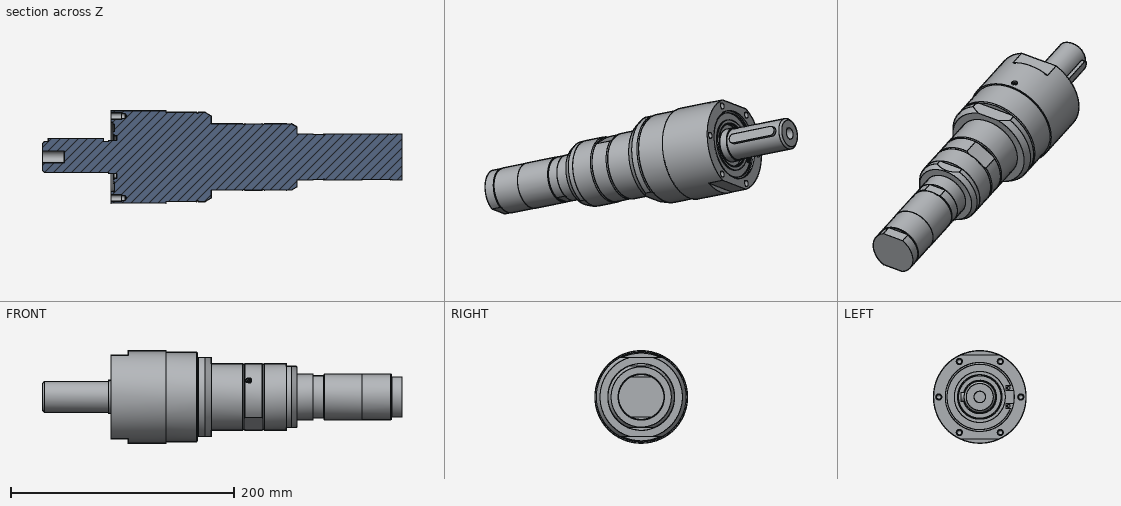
import cadquery as cq
import math

TOTAL_LENGTH = 322.0
OVERCUT = 3.2

SHAFT_RADIUS = 28.0 / 2
SHAFT_CHAMFER = 2.0
CENTRE_HOLE_DIAMETER = 10.3
CENTRE_HOLE_DEPTH = 19.3
COLLAR_RADIUS = 30.0 / 2
COLLAR_START = 59.2

KEY_START = 5.0
KEY_LENGTH = 49.5
KEY_WIDTH = 8.5
KEY_TOP = 16.7

FLANGE_RADIUS = 83.0 / 2
FLANGE_START = 61.2
FLANGE_FLAT_END = 76.5
FLANGE_FLAT_WIDTH = 75.0
FLANGE_END = 110.8
NUT_RADIUS = 80.5 / 2
NUT_FLAT_START = 138.8
NUT_FLAT_WIDTH = 71.0
NUT_END = 151.5
NUT_CHAMFER_LENGTH = 5.8

MOTOR_RADIUS = 60.0 / 2
RING_START = 180.3
RING_END = 197.7
RING_FLAT_WIDTH = 55.5
RING_FLAT_ANGLE = 60.0
MOTOR_CAP_RADIUS = 59.5 / 2
MOTOR_FLAT_START = 218.3
MOTOR_FLAT_WIDTH = 55.0
MOTOR_END = 228.0
MOTOR_CHAMFER_LENGTH = 4.8
END_CHAMFER_ANGLE = 30.0

TAIL_RADIUS = 41.5 / 2
SLEEVE_RADIUS = 41.2 / 2
NECK_START = 242.5
NECK_END = 252.0
REAR_SLEEVE_START = 286.0
NECK_FLAT_WIDTH = 38.0
TAIL_FLAT_START = 312.5
TAIL_FLAT_WIDTH = 36.0

JOINT_GROOVE_HALF_WIDTH = 1.0
JOINT_GROOVE_DEPTH = 1.0
TAIL_GROOVE_SIZE = 0.48

RECESS_RADIUS = 31.0
RECESS_DEPTH = 3.2
SEAL_DISC_RADIUS = 23.0
SEAL_DISC_HEIGHT = 1.3
SEAL_STEP_RADIUS = 20.0
SEAL_STEP_DEPTH = 1.0
SEAL_BORE_RADIUS = 19.0
SEAL_BORE_DEPTH = 3.2

SNAP_RING_INNER_RADIUS = 29.3
SNAP_RING_THICKNESS = 1.3
SNAP_RING_GAP = 12.0
EAR_WIDTH = 4.2
EAR_INNER_REACH = 23.5
EAR_HOLE_DIAMETER = 2.5
EAR_HOLE_REACH = 25.8

BOLT_COUNT = 6
BOLT_CIRCLE_RADIUS = 36.7
BOLT_THREAD_DIAMETER = 5.5
BOLT_THREAD_DEPTH = 9.5
BOLT_DRILL_DIAMETER = 4.2
BOLT_DRILL_DEPTH = 13.0
DRILL_POINT_ANGLE = 118.0

PORT_DIAMETER = 5.0
PORT_DEPTH = 2.0
PORT_BORE_DIAMETER = 2.5
PORT_BORE_DEPTH = 4.8
FLANGE_PORT_X = 104.5
FLANGE_PORT_ANGLE = 90.0
MOTOR_PORT_X = 184.8
MOTOR_PORT_ANGLE = 150.0


def v_groove(x, radius, half_width=JOINT_GROOVE_HALF_WIDTH, depth=JOINT_GROOVE_DEPTH):
    """Profile points of a V groove centred at x."""
    return [(x - half_width, radius), (x, radius - depth), (x + half_width, radius)]


def end_chamfer(x, radius, length):
    """Profile points of a shallow chamfer that ends at x."""
    drop = length * math.tan(math.radians(END_CHAMFER_ANGLE))
    return [(x - length, radius), (x, radius - drop)]


def turned_body():
    """Half profile revolved about the X axis."""
    profile = [
        (0, 0),
        (0, SHAFT_RADIUS - SHAFT_CHAMFER),
        (SHAFT_CHAMFER, SHAFT_RADIUS),
        (COLLAR_START, SHAFT_RADIUS),
        (COLLAR_START, COLLAR_RADIUS),
        (FLANGE_START, COLLAR_RADIUS),
        (FLANGE_START, FLANGE_RADIUS),
        (FLANGE_END, FLANGE_RADIUS),
        (FLANGE_END, NUT_RADIUS),
        *v_groove(NUT_FLAT_START, NUT_RADIUS),
        *end_chamfer(NUT_END, NUT_RADIUS, NUT_CHAMFER_LENGTH),
        (NUT_END, MOTOR_RADIUS),
        *v_groove(RING_START, MOTOR_RADIUS),
        *v_groove(RING_END, MOTOR_RADIUS),
        (MOTOR_FLAT_START, MOTOR_RADIUS),
        (MOTOR_FLAT_START, MOTOR_CAP_RADIUS),
        *end_chamfer(MOTOR_END, MOTOR_CAP_RADIUS, MOTOR_CHAMFER_LENGTH),
        (MOTOR_END, TAIL_RADIUS),
        (NECK_START, TAIL_RADIUS),
        (NECK_START, SLEEVE_RADIUS),
        *v_groove(NECK_END, SLEEVE_RADIUS, TAIL_GROOVE_SIZE, TAIL_GROOVE_SIZE),
        (NECK_END + TAIL_GROOVE_SIZE, TAIL_RADIUS),
        (REAR_SLEEVE_START, TAIL_RADIUS),
        (REAR_SLEEVE_START, SLEEVE_RADIUS),
        *v_groove(TAIL_FLAT_START, SLEEVE_RADIUS, TAIL_GROOVE_SIZE, TAIL_GROOVE_SIZE),
        (TOTAL_LENGTH, SLEEVE_RADIUS),
        (TOTAL_LENGTH, 0),
    ]
    return cq.Workplane("XY").polyline(profile).close().revolve(360, (0, 0, 0), (1, 0, 0))


def disc(x, radius, length):
    """Cylinder on the X axis that starts at x."""
    return cq.Workplane("YZ", origin=(x, 0, 0)).circle(radius).extrude(length)


def tube(x, outer_radius, inner_radius, length):
    """Hollow cylinder on the X axis that starts at x."""
    return cq.Workplane("YZ", origin=(x, 0, 0)).circle(outer_radius).circle(inner_radius).extrude(length)


def block(x_range, y_range, z_range):
    """Box given by its limits along X, Y and Z."""
    limits = (x_range, y_range, z_range)
    sizes = [high - low for low, high in limits]
    corner = tuple(low for low, high in limits)
    return cq.Workplane("XY").box(*sizes, centered=False).translate(corner)


def turn(shape, angle):
    """Turn a shape about the X axis, from +Y toward +Z."""
    return shape.rotate((0, 0, 0), (1, 0, 0), angle)


def cut_flat_pair(body, x_start, x_end, radius, across, normal_angle=90.0):
    """Cut two opposite parallel flats between x_start and x_end."""
    reach = radius + OVERCUT
    slab = block((x_start, x_end), (across / 2, reach), (-reach, reach))
    for angle in (normal_angle, normal_angle + 180):
        body = body.cut(turn(slab, angle))
    return body


def shaft_key():
    """Key with round ends, sunk to the shaft axis."""
    return (
        cq.Workplane("XZ", origin=(KEY_START + KEY_LENGTH / 2, 0, 0))
        .slot2D(KEY_LENGTH, KEY_WIDTH)
        .extrude(-KEY_TOP)
    )


def front_recess():
    """Material removed around the collar, leaving a seal disc with a stepped bore."""
    disc_start = FLANGE_START + RECESS_DEPTH - SEAL_DISC_HEIGHT
    seal_disc = disc(disc_start, SEAL_DISC_RADIUS, SEAL_DISC_HEIGHT)
    seal_step = tube(disc_start, SEAL_STEP_RADIUS, COLLAR_RADIUS, SEAL_STEP_DEPTH)
    seal_bore = tube(disc_start, SEAL_BORE_RADIUS, COLLAR_RADIUS, SEAL_BORE_DEPTH)
    recess = tube(FLANGE_START, RECESS_RADIUS, COLLAR_RADIUS, RECESS_DEPTH)
    return recess.cut(seal_disc).union(seal_step).union(seal_bore)


def snap_ring():
    """Open ring on the recess floor, with a drilled ear at each end."""
    x_end = FLANGE_START + RECESS_DEPTH
    x_start = x_end - SNAP_RING_THICKNESS
    half_gap = SNAP_RING_GAP / 2
    ring = tube(x_start, RECESS_RADIUS, SNAP_RING_INNER_RADIUS, SNAP_RING_THICKNESS)
    ears = block(
        (x_start, x_end),
        (-RECESS_RADIUS, -EAR_INNER_REACH),
        (-half_gap - EAR_WIDTH, half_gap + EAR_WIDTH),
    ).intersect(disc(x_start, RECESS_RADIUS, SNAP_RING_THICKNESS))
    gap = block((x_start, x_end), (-RECESS_RADIUS - OVERCUT, 0), (-half_gap, half_gap))
    hole_offset = half_gap + EAR_WIDTH / 2
    holes = (
        cq.Workplane("YZ", origin=(x_start, 0, 0))
        .pushPoints([(-EAR_HOLE_REACH, -hole_offset), (-EAR_HOLE_REACH, hole_offset)])
        .circle(EAR_HOLE_DIAMETER / 2)
        .extrude(SNAP_RING_THICKNESS)
    )
    return ring.union(ears).cut(gap).cut(holes)


def bolt_hole():
    """Threaded hole on the X axis with a drilled bottom and a drill point."""
    thread_radius = BOLT_THREAD_DIAMETER / 2
    drill_radius = BOLT_DRILL_DIAMETER / 2
    point_length = drill_radius / math.tan(math.radians(DRILL_POINT_ANGLE / 2))
    profile = [
        (0, 0),
        (0, thread_radius),
        (BOLT_THREAD_DEPTH, thread_radius),
        (BOLT_THREAD_DEPTH, drill_radius),
        (BOLT_DRILL_DEPTH, drill_radius),
        (BOLT_DRILL_DEPTH + point_length, 0),
    ]
    return cq.Workplane("XY").polyline(profile).close().revolve(360, (0, 0, 0), (1, 0, 0))


def cut_bolt_holes(body):
    """Ring of bolt holes in the front face."""
    hole = bolt_hole().translate((FLANGE_START, BOLT_CIRCLE_RADIUS, 0))
    for index in range(BOLT_COUNT):
        body = body.cut(turn(hole, index * 360 / BOLT_COUNT))
    return body


def radial_port(x, surface_radius, angle):
    """Stepped port drilled from the surface toward the axis."""
    mouth = cq.Workplane("XZ", origin=(x, surface_radius, 0))
    outer = mouth.circle(PORT_DIAMETER / 2).extrude(PORT_DEPTH)
    inner = mouth.circle(PORT_BORE_DIAMETER / 2).extrude(PORT_BORE_DEPTH)
    return turn(outer.union(inner), angle)


result = turned_body().union(shaft_key())
result = result.cut(disc(0, CENTRE_HOLE_DIAMETER / 2, CENTRE_HOLE_DEPTH))
result = result.cut(front_recess()).union(snap_ring())
result = cut_bolt_holes(result)

result = cut_flat_pair(result, FLANGE_START, FLANGE_FLAT_END, FLANGE_RADIUS, FLANGE_FLAT_WIDTH)
result = cut_flat_pair(result, NUT_FLAT_START, NUT_END, NUT_RADIUS, NUT_FLAT_WIDTH)
result = cut_flat_pair(result, RING_START, RING_END, MOTOR_RADIUS, RING_FLAT_WIDTH, RING_FLAT_ANGLE)
result = cut_flat_pair(result, MOTOR_FLAT_START, MOTOR_END, MOTOR_RADIUS, MOTOR_FLAT_WIDTH)
result = cut_flat_pair(result, NECK_START, NECK_END, TAIL_RADIUS, NECK_FLAT_WIDTH)
result = cut_flat_pair(result, TAIL_FLAT_START, TOTAL_LENGTH, TAIL_RADIUS, TAIL_FLAT_WIDTH)

result = result.cut(radial_port(FLANGE_PORT_X, FLANGE_RADIUS, FLANGE_PORT_ANGLE))
result = result.cut(radial_port(MOTOR_PORT_X, MOTOR_RADIUS, MOTOR_PORT_ANGLE))